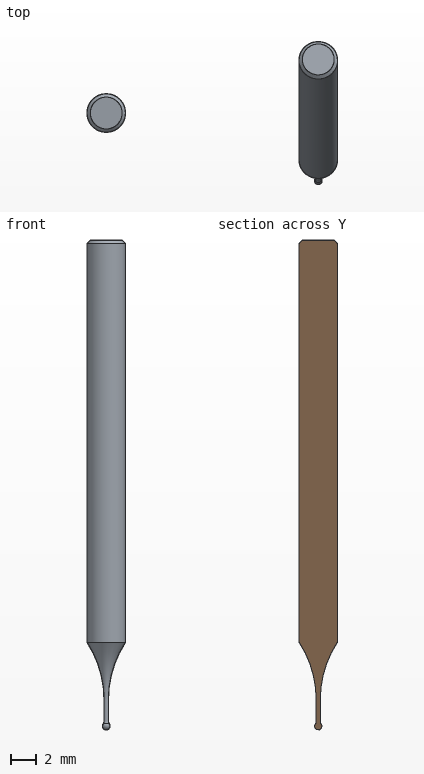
import cadquery as cq
import math

length = 38.0
shank_radius = 1.5
top_chamfer = 0.25

shoulder_height = 6.8
neck_top = 2.35
neck_bottom = 0.65

neck_radius = 0.18
ball_radius = 0.3

joint_angle = math.radians(45)

flare_height = shoulder_height - neck_top
flare_width = shank_radius - neck_radius
flare_radius = (flare_height**2 + flare_width**2) / (2 * flare_width)
flare_half_angle = math.asin(flare_height / flare_radius) / 2
flare_mid = (
    neck_radius + flare_radius * (1 - math.cos(flare_half_angle)),
    neck_top + flare_radius * math.sin(flare_half_angle),
)


def ball_point(angle):
    """Point (radius, height) on the ball at an angle above its equator."""
    return (ball_radius * math.cos(angle), ball_radius * (1 + math.sin(angle)))


profile = (
    cq.Workplane("XZ")
    .moveTo(0, 0)
    .threePointArc(ball_point(0), ball_point(joint_angle))
    .lineTo(neck_radius, neck_bottom)
    .lineTo(neck_radius, neck_top)
    .threePointArc(flare_mid, (shank_radius, shoulder_height))
    .lineTo(shank_radius, length - top_chamfer)
    .lineTo(shank_radius - top_chamfer, length)
    .lineTo(0, length)
    .close()
)

result = profile.revolve(360, (0, 0, 0), (0, 1, 0))